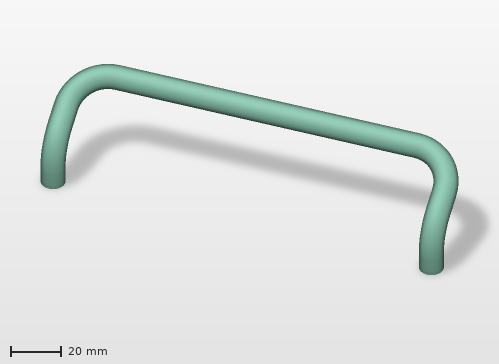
import cadquery as cq
import math

length = 170.0
depth = 40.0
height = 40.0
rod_diameter = 10.0
bend_radius = 16.7
tilt = math.radians(30)

half_span = (length - rod_diameter) / 2
grip_y = depth - rod_diameter
grip_z = height - rod_diameter / 2
foot_bend_angle = math.pi / 2 - tilt
foot_bend_y = bend_radius * (1 - math.cos(foot_bend_angle))
foot_bend_rise = bend_radius * math.sin(foot_bend_angle)
arm_length = (grip_y - foot_bend_y) / math.cos(tilt)
foot_height = grip_z - arm_length * math.sin(tilt) - foot_bend_rise


def foot_bend_point(side, angle):
    """Centreline point after turning by angle from the vertical foot."""
    return cq.Vector(
        side * half_span,
        bend_radius * (1 - math.cos(angle)),
        foot_height + bend_radius * math.sin(angle),
    )


def tilted_point(side, inset, distance):
    """Point in the grip plane, distance up the arm and inset toward the middle."""
    return cq.Vector(
        side * (half_span - inset),
        foot_bend_y + distance * math.cos(tilt),
        foot_height + foot_bend_rise + distance * math.sin(tilt),
    )


def leg_edges(side):
    """Foot, foot bend, arm and corner bend, from the foot end to the grip."""
    foot_end = cq.Vector(side * half_span, 0, 0)
    foot_top = foot_bend_point(side, 0)
    foot_bend_middle = foot_bend_point(side, foot_bend_angle / 2)
    arm_start = foot_bend_point(side, foot_bend_angle)
    arm_end = tilted_point(side, 0, arm_length - bend_radius)
    corner_offset = bend_radius * (1 - math.sqrt(0.5))
    corner_middle = tilted_point(side, corner_offset, arm_length - corner_offset)
    grip_end = tilted_point(side, bend_radius, arm_length)
    return [
        cq.Edge.makeLine(foot_end, foot_top),
        cq.Edge.makeThreePointArc(foot_top, foot_bend_middle, arm_start),
        cq.Edge.makeLine(arm_start, arm_end),
        cq.Edge.makeThreePointArc(arm_end, corner_middle, grip_end),
    ]


grip = cq.Edge.makeLine(
    tilted_point(-1, bend_radius, arm_length),
    tilted_point(1, bend_radius, arm_length),
)
centreline = cq.Wire.assembleEdges(leg_edges(-1) + [grip] + leg_edges(1)[::-1])

result = (
    cq.Workplane("XY")
    .center(-half_span, 0)
    .circle(rod_diameter / 2)
    .sweep(cq.Workplane(obj=centreline))
)